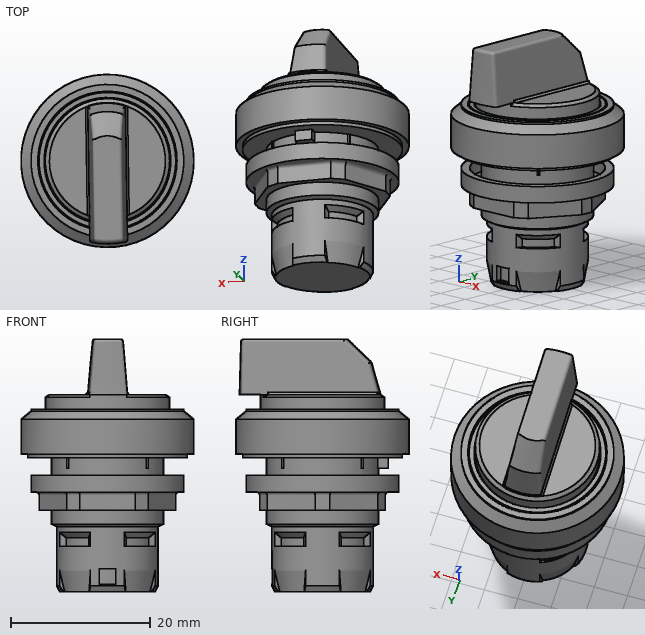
import cadquery as cq
import math

total_height = 36.35
body_top = 9.38
shaft_bottom = 9.75
nut_bottom = 11.7
washer_bottom = 14.33
washer_recess_floor = 14.8
washer_top = 16.75
ring_lip_bottom = 19.27
ring_bottom = 19.8
ring_chamfer_bottom = 24.8
ring_rim_bottom = 26.0
ring_top = 26.3
cap_chamfer_bottom = 27.95
cap_top = 28.35

body_diameter = 14.6
pocket_floor_diameter = 13.1
shaft_diameter = 16.15
washer_diameter = 22.0
washer_recess_diameter = 19.5
ring_lip_diameter = 23.0
ring_diameter = 24.9
ring_rim_diameter = 22.0
ring_bore_diameter = 18.25
groove_outer_diameter = 20.05
groove_inner_diameter = 19.67
cap_diameter = 17.9
cap_top_diameter = 16.7

ring_bore_depth = 0.5
groove_depth = 0.25
body_chamfer_width = 0.45
body_chamfer_height = 0.87

nut_across_flats = 18.1
nut_across_corner_flats = 19.67
nut_fillet = 0.45

pocket_bottom = 6.58
pocket_top = 8.55
notch_top = 3.1
notch_bottom_radius = 6.7
recess_mouth_half_width = 3.13
recess_floor_half_width = 2.33
recess_mouth_distance = 6.58
recess_floor_distance = 6.15

window_width = 2.33
window_bottom = 1.1
window_top = 3.3

tab_bottom = 17.75
tab_width = 2.5
tab_reach = 9.5
corner_half_width = 5.85

knob_turn = 0.9
knob_base_half_width = 2.73
knob_top_half_width = 2.07
knob_front_base_radius = 11.95
knob_front_top_radius = 11.75
knob_back_base_radius = 8.4
knob_back_shoulder_radius = 7.1
knob_back_shoulder_height = 32.98
knob_back_top_radius = 3.6
knob_fillet = 0.47
knob_foot_half_width = 3.0
knob_foot_height = 0.33
neck_width = 5.35

pick_margin = 0.05
clearance = 0.35


def disc(diameter, bottom, top):
    return cq.Workplane("XY").workplane(offset=bottom).circle(diameter / 2).extrude(top - bottom)


def turned(points):
    """Revolve a half profile of (radius, height) points about the Z axis."""
    return cq.Workplane("XZ").polyline(points).close().revolve(360, (0, 0, 0), (0, 1, 0))


def make_stem():
    """Body, shaft, washer, ring and cap, turned as one profile."""
    body_radius = body_diameter / 2
    shaft_radius = shaft_diameter / 2
    washer_radius = washer_diameter / 2
    recess_radius = washer_recess_diameter / 2
    lip_radius = ring_lip_diameter / 2
    ring_radius = ring_diameter / 2
    rim_radius = ring_rim_diameter / 2
    bore_radius = ring_bore_diameter / 2
    cap_radius = cap_diameter / 2
    bore_floor = ring_top - ring_bore_depth
    stem = turned([
        (0, 0),
        (body_radius - body_chamfer_width, 0),
        (body_radius, body_chamfer_height),
        (body_radius, body_top),
        (shaft_radius, shaft_bottom),
        (shaft_radius, washer_bottom),
        (washer_radius, washer_bottom),
        (washer_radius, washer_top),
        (recess_radius, washer_top),
        (recess_radius, washer_recess_floor),
        (shaft_radius, washer_recess_floor),
        (shaft_radius, ring_lip_bottom),
        (lip_radius, ring_lip_bottom),
        (lip_radius, ring_bottom),
        (ring_radius, ring_bottom),
        (ring_radius, ring_chamfer_bottom),
        (rim_radius, ring_rim_bottom),
        (rim_radius, ring_top),
        (bore_radius, ring_top),
        (bore_radius, bore_floor),
        (cap_radius, bore_floor),
        (cap_radius, cap_chamfer_bottom),
        (cap_top_diameter / 2, cap_top),
        (0, cap_top),
    ])
    groove_floor = ring_top - groove_depth
    groove = disc(groove_outer_diameter, groove_floor, ring_top).cut(
        disc(groove_inner_diameter, groove_floor, ring_top)
    )
    return stem.cut(groove)


def hexagon(across_flats, height):
    across_corners = across_flats / math.cos(math.pi / 6)
    return cq.Workplane("XY").workplane(offset=nut_bottom).polygon(6, across_corners).extrude(height)


def add_nut(part):
    """Hexagon with flattened corners, blended into the underside of the washer."""
    height = washer_bottom - nut_bottom
    corner_flats = hexagon(nut_across_corner_flats, height).rotate((0, 0, 0), (0, 0, 1), 30)
    nut = hexagon(nut_across_flats, height).intersect(corner_flats)
    part = part.union(nut)
    reach = nut_across_corner_flats / 2
    junction = cq.selectors.BoxSelector(
        (-reach, -reach, washer_bottom - pick_margin),
        (reach, reach, washer_bottom + pick_margin),
    )
    return part.edges(junction).edges("%LINE").fillet(nut_fillet)


def recess_wedge():
    """Prism over the body height whose side walls close in towards the axis."""
    slope = (recess_mouth_half_width - recess_floor_half_width) / (
        recess_mouth_distance - recess_floor_distance
    )
    outer_distance = body_diameter / 2 + clearance
    inner_distance = recess_floor_distance - clearance
    outer_half_width = recess_mouth_half_width + slope * (outer_distance - recess_mouth_distance)
    inner_half_width = recess_floor_half_width - slope * (recess_floor_distance - inner_distance)
    return (
        cq.Workplane("XY")
        .moveTo(inner_distance, -inner_half_width)
        .lineTo(outer_distance, -outer_half_width)
        .lineTo(outer_distance, outer_half_width)
        .lineTo(inner_distance, inner_half_width)
        .close()
        .extrude(body_top)
    )


def cut_body_recesses(part):
    """Four pockets with a 45 degree ceiling and four conical notches at the bottom edge."""
    body_radius = body_diameter / 2
    floor_radius = pocket_floor_diameter / 2
    outside = body_radius + clearance
    pocket_ring = turned([
        (floor_radius, pocket_bottom),
        (outside, pocket_bottom),
        (outside, pocket_top + outside - body_radius),
        (floor_radius, pocket_top + floor_radius - body_radius),
    ])
    notch_ring = turned([
        (notch_bottom_radius, 0),
        (outside, 0),
        (outside, notch_top),
        (body_radius, notch_top),
    ])
    recesses = pocket_ring.union(notch_ring).intersect(recess_wedge())
    for quarter in range(4):
        part = part.cut(recesses.rotate((0, 0, 0), (0, 0, 1), 45 + 90 * quarter))
    return part


def cut_window(part):
    """Shallow window at the front of the body, down to the pocket floor diameter."""
    height = window_top - window_bottom
    window = (
        cq.Workplane("XY")
        .box(window_width, body_diameter, height, centered=(True, False, False))
        .translate((0, -body_diameter, window_bottom))
        .cut(disc(pocket_floor_diameter, window_bottom, window_top))
    )
    return part.cut(window)


def add_locating_features(part):
    """Tab at the back of the shaft and square corners that stand slightly proud of it."""
    height = ring_lip_bottom - tab_bottom
    base = cq.Workplane("XY").workplane(offset=tab_bottom)
    tab = base.center(0, tab_reach / 2).rect(tab_width, tab_reach).extrude(height)
    corners = base.rect(2 * corner_half_width, 2 * corner_half_width).extrude(height)
    return part.union(tab).union(corners)


def is_knob_round(edge):
    """True for edges above the base, leaving out the two creases across the back."""
    box = edge.BoundingBox()
    on_base = box.zmax < cap_top + pick_margin
    back_crease = edge.Center().y > 0 and box.zlen < pick_margin and box.xlen > knob_top_half_width
    return not (on_base or back_crease)


def make_knob():
    """Tapered grip with round ends, overhanging the cap at the front."""
    front = turned([
        (0, cap_top),
        (knob_front_base_radius, cap_top),
        (knob_front_top_radius, total_height),
        (0, total_height),
    ])
    back = turned([
        (0, cap_top),
        (knob_back_base_radius, cap_top),
        (knob_back_shoulder_radius, knob_back_shoulder_height),
        (knob_back_top_radius, total_height),
        (0, total_height),
    ])
    span = ring_diameter
    front_half = cq.Workplane("XY").box(span, span, 2 * total_height).translate((0, -span / 2, 0))
    slab = (
        cq.Workplane("XZ")
        .moveTo(-knob_base_half_width, cap_top)
        .lineTo(knob_base_half_width, cap_top)
        .lineTo(knob_top_half_width, total_height)
        .lineTo(-knob_top_half_width, total_height)
        .close()
        .extrude(span / 2, both=True)
    )
    grip = front.intersect(front_half).union(back).intersect(slab).clean()
    rounds = [edge for edge in grip.edges().vals() if is_knob_round(edge)]
    grip = grip.newObject(rounds).fillet(knob_fillet)

    foot_top = cap_top + knob_foot_height
    foot = (
        cq.Workplane("XZ")
        .moveTo(-knob_foot_half_width, cap_top)
        .lineTo(knob_foot_half_width, cap_top)
        .lineTo(knob_base_half_width, foot_top)
        .lineTo(-knob_base_half_width, foot_top)
        .close()
        .extrude(span / 2, both=True)
        .intersect(disc(cap_top_diameter, cap_top, foot_top))
    )
    neck = (
        cq.Workplane("XY")
        .box(neck_width, cap_diameter, cap_top, centered=(True, False, False))
        .translate((0, -cap_diameter, 0))
        .intersect(disc(cap_diameter, cap_chamfer_bottom, cap_top))
    )
    return grip.union(foot).union(neck).rotate((0, 0, 0), (0, 0, 1), knob_turn)


result = add_nut(make_stem())
result = cut_body_recesses(result)
result = cut_window(result)
result = add_locating_features(result)
result = result.union(make_knob())